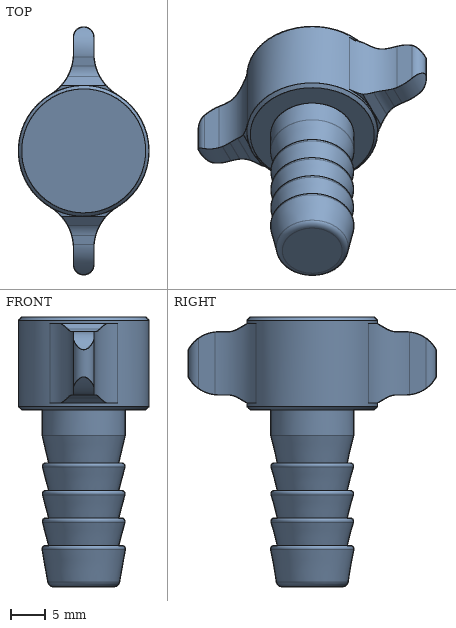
import cadquery as cq
import math

cap_radius = 9.5
cap_height = 13.5
cap_chamfer = 0.5

barb_count = 4
barb_pitch = 4.0
first_barb_top = 6.0
barb_root_radius = 5.1
barb_rim_radius = 6.16
barb_rim_fillet = 0.5
stem_end_fillet = 0.9
collar_radius = 6.05
collar_length = 3.7

wing_thickness = 3.0
wing_reach = 18.0
wing_root_height = 11.5
wing_root_blend = 7.0
wing_slope_angle = 30.0
wing_slope_end = 10.8
wing_neck_radius = 3.0
wing_flat_end = 13.6
wing_tip_radius = 5.0

barb_tops = [first_barb_top + i * barb_pitch for i in range(barb_count)]
collar_bottom = barb_tops[-1] + barb_pitch
cap_bottom = collar_bottom + collar_length
cap_middle = cap_bottom + cap_height / 2


def make_cap():
    cap = cq.Workplane("XY", origin=(0, 0, cap_bottom)).circle(cap_radius).extrude(cap_height)
    return cap.faces("|Z").edges().chamfer(cap_chamfer)


def cone(bottom_z, bottom_radius, top_z, top_radius):
    profile = [(0, bottom_z), (bottom_radius, bottom_z), (top_radius, top_z), (0, top_z)]
    return cq.Workplane("XZ").polyline(profile).close().revolve(360, (0, 0), (0, 1))


def make_barb(bottom_z, top_z):
    barb = cone(bottom_z, barb_root_radius, top_z, barb_rim_radius)
    return barb.faces(">Z").edges().fillet(barb_rim_fillet)


def make_stem():
    stem = make_barb(0, first_barb_top).faces("<Z").edges().fillet(stem_end_fillet)
    for lower_top, upper_top in zip(barb_tops, barb_tops[1:]):
        stem = stem.union(make_barb(lower_top, upper_top))
    stem = stem.union(cone(barb_tops[-1], barb_root_radius, collar_bottom, collar_radius))
    collar = cq.Workplane("XY", origin=(0, 0, collar_bottom)).circle(collar_radius).extrude(collar_length)
    return stem.union(collar)


def wing_plan():
    """Wing seen along Z: rounded tip, parallel sides, then arcs tangent to the cap."""
    half = wing_thickness / 2
    center_x = half + wing_root_blend
    center_distance = cap_radius + wing_root_blend
    center_y = math.sqrt(center_distance ** 2 - center_x ** 2)
    root_x = center_x * cap_radius / center_distance
    root_y = center_y * cap_radius / center_distance
    half_turn = math.atan2(center_y, center_x) / 2
    mid_x = center_x - wing_root_blend * math.cos(half_turn)
    mid_y = center_y - wing_root_blend * math.sin(half_turn)
    return (
        cq.Workplane("XY", origin=(0, 0, cap_bottom))
        .moveTo(0, 0)
        .lineTo(root_x, root_y)
        .threePointArc((mid_x, mid_y), (half, center_y))
        .lineTo(half, wing_reach - half)
        .threePointArc((0, wing_reach), (-half, wing_reach - half))
        .lineTo(-half, center_y)
        .threePointArc((-mid_x, mid_y), (-root_x, root_y))
        .close()
        .extrude(cap_height)
    )


def wing_side():
    """Wing seen along X: slope, concave neck, flat edge and convex end, symmetric about mid-height."""
    slope = math.radians(wing_slope_angle)
    root_half = wing_root_height / 2
    slope_half = root_half - (wing_slope_end - cap_radius) * math.tan(slope)
    flat_half = slope_half - wing_neck_radius * (1 - math.cos(slope))
    flat_start = wing_slope_end + wing_neck_radius * math.sin(slope)
    neck_mid_y = flat_start - wing_neck_radius * math.sin(slope / 2)
    neck_mid_half = flat_half + wing_neck_radius * (1 - math.cos(slope / 2))
    end_turn = math.asin((wing_reach - wing_flat_end) / wing_tip_radius)
    end_mid_y = wing_flat_end + wing_tip_radius * math.sin(end_turn / 2)
    end_mid_half = flat_half - wing_tip_radius * (1 - math.cos(end_turn / 2))
    end_half = flat_half - wing_tip_radius * (1 - math.cos(end_turn))
    return (
        cq.Workplane("YZ", origin=(0, 0, cap_middle))
        .moveTo(0, root_half)
        .lineTo(cap_radius, root_half)
        .lineTo(wing_slope_end, slope_half)
        .threePointArc((neck_mid_y, neck_mid_half), (flat_start, flat_half))
        .lineTo(wing_flat_end, flat_half)
        .threePointArc((end_mid_y, end_mid_half), (wing_reach, end_half))
        .lineTo(wing_reach, -end_half)
        .threePointArc((end_mid_y, -end_mid_half), (wing_flat_end, -flat_half))
        .lineTo(flat_start, -flat_half)
        .threePointArc((neck_mid_y, -neck_mid_half), (wing_slope_end, -slope_half))
        .lineTo(cap_radius, -root_half)
        .lineTo(0, -root_half)
        .close()
        .extrude(cap_radius, both=True)
    )


wing = wing_plan().intersect(wing_side())
opposite_wing = wing.mirror("XZ")

result = make_cap().union(make_stem()).union(wing).union(opposite_wing)